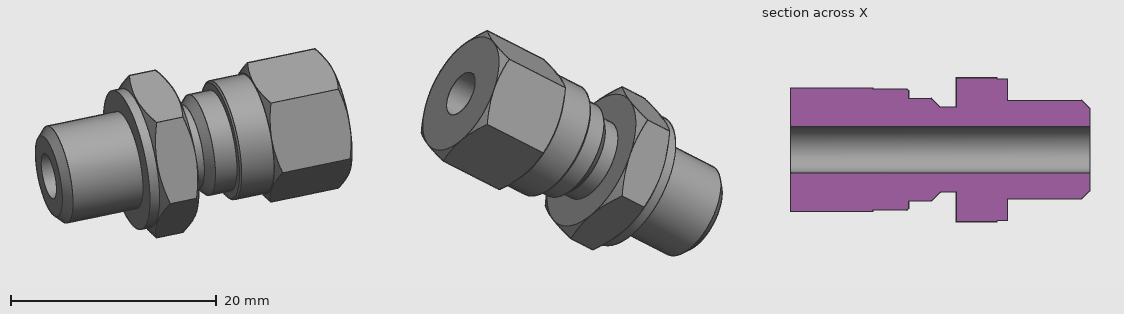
import cadquery as cq
import math

total_length = 29.1
bore_dia = 4.5

stud_dia = 9.63
stud_length = 8.0
stud_chamfer = 0.8

washer_dia = 13.8
washer_thickness = 1.0
body_hex_flats = 14.0
body_hex_thickness = 4.0

neck_dia = 8.32
neck_length = 1.55
shoulder_dia = 10.0

collar_dia = 11.8
collar_length = 3.5
collar_chamfer = 0.17
nut_flats = 12.0
nut_hex_length = 8.0

hex_chamfer_angle = 30.0

washer_end = stud_length + washer_thickness
body_hex_end = washer_end + body_hex_thickness
neck_end = body_hex_end + neck_length
nut_hex_start = total_length - nut_hex_length
collar_start = nut_hex_start - collar_length
shoulder_chamfer = (shoulder_dia - neck_dia) / 2


def cylinder(diameter, start, end):
    """Round bar along Y between two stations."""
    plane = cq.Workplane("XZ", origin=(0, start, 0))
    return plane.circle(diameter / 2).extrude(start - end)


def chamfered_hex(flats, start_face_dia, start, end):
    """Hexagon along Y, corners on X, with conical chamfers at both ends."""
    corner_dia = flats / math.cos(math.radians(30))
    slope = math.tan(math.radians(hex_chamfer_angle))
    start_drop = (corner_dia - start_face_dia) / 2 * slope
    end_drop = (corner_dia - flats) / 2 * slope
    prism = (
        cq.Workplane("XZ", origin=(0, start, 0))
        .polygon(6, corner_dia)
        .extrude(start - end)
    )
    envelope = (
        cq.Workplane("XY")
        .moveTo(0, start)
        .lineTo(start_face_dia / 2, start)
        .lineTo(corner_dia / 2, start + start_drop)
        .lineTo(corner_dia / 2, end - end_drop)
        .lineTo(flats / 2, end)
        .lineTo(0, end)
        .close()
        .revolve(360, (0, 0, 0), (0, 1, 0))
    )
    return prism.intersect(envelope)


stud = cylinder(stud_dia, 0, stud_length).faces("<Y").chamfer(stud_chamfer)
washer_face = cylinder(washer_dia, stud_length, washer_end)
body_hex = chamfered_hex(body_hex_flats, washer_dia, washer_end, body_hex_end)
neck = cylinder(neck_dia, body_hex_end, neck_end)
shoulder = cylinder(shoulder_dia, neck_end, collar_start).faces("<Y").chamfer(shoulder_chamfer)
collar = cylinder(collar_dia, collar_start, nut_hex_start).faces("<Y").chamfer(collar_chamfer)
nut_hex = chamfered_hex(nut_flats, nut_flats, nut_hex_start, total_length)

result = stud
for section in (washer_face, body_hex, neck, shoulder, collar, nut_hex):
    result = result.union(section)

result = result.cut(cylinder(bore_dia, 0, total_length))